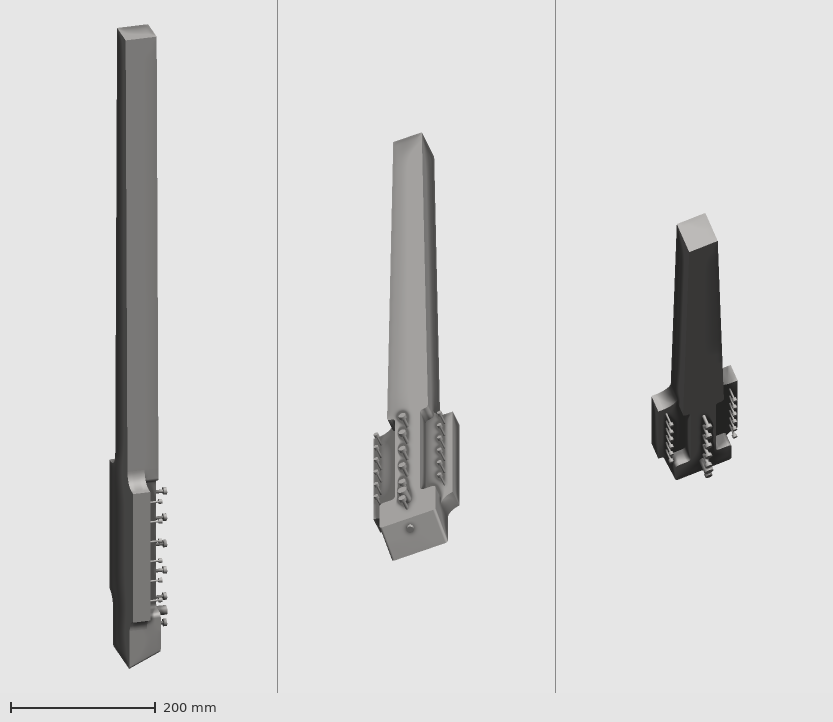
import cadquery as cq
import math

LENGTH = 951.0
SPLIT_Y = 25.0
BACK_Y = 45.0
PIN_END_Y = 65.0
END_SLOPE = 25.0

NECK_TOP_HALF = 43.0 / 2
NECK_BASE_HALF = 30.0
BODY_HALF = 119.0 / 2
TAIL_HALF = 42.0

UPPER_SHOULDER_Z = 276.0
LOWER_SHOULDER_Z = 80.0
SHOULDER_RADIUS = 21.0
NECK_BASE_Z = UPPER_SHOULDER_Z + SHOULDER_RADIUS
STEP_RADIUS = 6.0
WAIST_HALF = NECK_BASE_HALF - 2 * STEP_RADIUS
END_CORNER_RADIUS = 4.0

HEAD_THICKNESS = 5.0
PIN_HEAD_DIAMETER = 10.0
PIN_SHAFT_DIAMETER = 5.0
REAR_PIN_COUNT = 6
REAR_PIN_TOP_Z = 246.0
REAR_PIN_BOTTOM_Z = 46.0
REAR_PIN_PITCH = (REAR_PIN_TOP_Z - REAR_PIN_BOTTOM_Z) / (REAR_PIN_COUNT - 1)
POST_DIAMETER = 13.0
POST_Z = 65.0
SIDE_HEAD_DIAMETER = 7.0
SIDE_SHAFT_DIAMETER = 3.0
SIDE_PIN_COUNT = 6
SIDE_PIN_TOP_Z = 254.0
SIDE_PIN_BOTTOM_Z = 104.0
SIDE_PIN_PITCH = (SIDE_PIN_TOP_Z - SIDE_PIN_BOTTOM_Z) / (SIDE_PIN_COUNT - 1)
SIDE_PIN_X = 48.0
END_PIN_Y = 35.0
END_PIN_TIP_Z = 7.0


def slope_z(y):
    """Height of the sloped bottom end at depth y."""
    return y * math.tan(math.radians(END_SLOPE))


def plate(half_outline, y_start, y_end):
    """Plate between two depths, from an outline of its +X half that starts and ends on the centre line."""
    half = half_outline.close().extrude(y_start - y_end).translate((0, y_start, 0))
    return half.union(half.mirror("YZ"))


def slope_bottom_end(body):
    """Cut the bottom end to its slope and round the two edges where it meets the tail sides."""
    wedge = (
        cq.Workplane("YZ")
        .polyline([(0, 0), (BACK_Y, 0), (BACK_Y, slope_z(BACK_Y))])
        .close()
        .extrude(BODY_HALF, both=True)
    )
    normal = cq.Vector(0, math.sin(math.radians(END_SLOPE)), -math.cos(math.radians(END_SLOPE)))
    sloped = body.cut(wedge)
    end_face = sloped.faces(cq.selectors.DirectionMinMaxSelector(normal))
    return end_face.edges("<X or >X").fillet(END_CORNER_RADIUS)


def headed_pin(plane, tip, length, shaft_diameter, head_diameter):
    """Pin whose head ends at the tip point; the plane's normal runs from the tip back to the root."""
    head = cq.Workplane(plane, origin=tip).circle(head_diameter / 2).extrude(HEAD_THICKNESS)
    return head.circle(shaft_diameter / 2).extrude(length)


def make_front_body():
    """Wide body with a tapered neck above, a tail below and a row of small pins behind each side."""
    centre_to_arc = SHOULDER_RADIUS * math.sqrt(0.5)
    upper_arc_x = NECK_BASE_HALF + SHOULDER_RADIUS
    lower_arc_x = TAIL_HALF + SHOULDER_RADIUS
    lower_arc_z = LOWER_SHOULDER_Z - SHOULDER_RADIUS
    lower_corner_z = lower_arc_z + math.sqrt(SHOULDER_RADIUS**2 - (lower_arc_x - BODY_HALF) ** 2)
    outline = (
        cq.Workplane("XZ")
        .moveTo(0, LENGTH)
        .lineTo(NECK_TOP_HALF, LENGTH)
        .lineTo(NECK_BASE_HALF, NECK_BASE_Z)
        .threePointArc(
            (upper_arc_x - centre_to_arc, NECK_BASE_Z - centre_to_arc),
            (upper_arc_x, UPPER_SHOULDER_Z),
        )
        .lineTo(BODY_HALF, UPPER_SHOULDER_Z)
        .lineTo(BODY_HALF, lower_corner_z)
        .threePointArc(
            (lower_arc_x - centre_to_arc, lower_arc_z + centre_to_arc),
            (TAIL_HALF, lower_arc_z),
        )
        .lineTo(TAIL_HALF, 0)
        .lineTo(0, 0)
    )
    body = slope_bottom_end(plate(outline, 0, SPLIT_Y))
    for side in (-1, 1):
        for i in range(SIDE_PIN_COUNT):
            tip = (side * SIDE_PIN_X, BACK_Y, SIDE_PIN_TOP_Z - i * SIDE_PIN_PITCH)
            pin = headed_pin("XZ", tip, BACK_Y - SPLIT_Y, SIDE_SHAFT_DIAMETER, SIDE_HEAD_DIAMETER)
            body = body.union(pin)
    return body


def make_back_body():
    """Neck backing with a narrow waist, a row of rear pins, a post and a pin in the sloped end."""
    arc_mid = STEP_RADIUS * math.sqrt(0.5)
    upper_rim_x = NECK_BASE_HALF - STEP_RADIUS
    upper_rim_z = UPPER_SHOULDER_Z + STEP_RADIUS
    upper_waist_z = UPPER_SHOULDER_Z - STEP_RADIUS
    lower_waist_z = LOWER_SHOULDER_Z + STEP_RADIUS
    lower_rim_x = TAIL_HALF - STEP_RADIUS
    lower_rim_z = LOWER_SHOULDER_Z - STEP_RADIUS
    waist_arc_x = WAIST_HALF + STEP_RADIUS
    outline = (
        cq.Workplane("XZ")
        .moveTo(0, LENGTH)
        .lineTo(NECK_TOP_HALF, LENGTH)
        .lineTo(NECK_BASE_HALF, NECK_BASE_Z)
        .lineTo(NECK_BASE_HALF, upper_rim_z)
        .threePointArc((upper_rim_x + arc_mid, upper_rim_z - arc_mid), (upper_rim_x, UPPER_SHOULDER_Z))
        .threePointArc((waist_arc_x - arc_mid, upper_waist_z + arc_mid), (WAIST_HALF, upper_waist_z))
        .lineTo(WAIST_HALF, lower_waist_z)
        .threePointArc((waist_arc_x - arc_mid, lower_waist_z - arc_mid), (waist_arc_x, LOWER_SHOULDER_Z))
        .lineTo(lower_rim_x, LOWER_SHOULDER_Z)
        .threePointArc((lower_rim_x + arc_mid, lower_rim_z + arc_mid), (TAIL_HALF, lower_rim_z))
        .lineTo(TAIL_HALF, 0)
        .lineTo(0, 0)
    )
    body = slope_bottom_end(plate(outline, SPLIT_Y, BACK_Y))
    for i in range(REAR_PIN_COUNT):
        tip = (0, PIN_END_Y, REAR_PIN_TOP_Z - i * REAR_PIN_PITCH)
        pin = headed_pin("XZ", tip, PIN_END_Y - BACK_Y, PIN_SHAFT_DIAMETER, PIN_HEAD_DIAMETER)
        body = body.union(pin)
    post = (
        cq.Workplane("XZ", origin=(0, PIN_END_Y, POST_Z))
        .circle(POST_DIAMETER / 2)
        .extrude(PIN_END_Y - BACK_Y)
    )
    end_pin_root_z = slope_z(END_PIN_Y + PIN_SHAFT_DIAMETER)
    end_pin = headed_pin(
        "XY",
        (0, END_PIN_Y, END_PIN_TIP_Z),
        end_pin_root_z - END_PIN_TIP_Z,
        PIN_SHAFT_DIAMETER,
        PIN_HEAD_DIAMETER,
    )
    return body.union(post).union(end_pin)


front_body = make_front_body()
back_body = make_back_body()

result = cq.Compound.makeCompound([front_body.solids().val(), back_body.solids().val()])